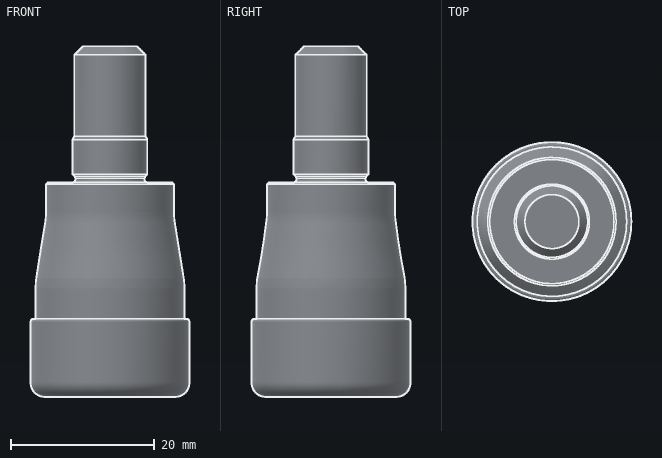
import cadquery as cq
import math

TOTAL_HEIGHT = 49.0

FOOT_RADIUS = 11.1
FOOT_HEIGHT = 10.95
FOOT_BOTTOM_FILLET = 2.0
FOOT_RIM_FILLET = 0.45

SHANK_RADIUS = 10.45
HEAD_RADIUS = 8.95
HEAD_TOP = 30.0
HEAD_EDGE_CHAMFER = 0.3
CONE_BOTTOM = 15.9
CONE_TOP = 25.05
CONE_BLEND_LENGTH = 0.75

NECK_RADIUS = 4.85
NECK_FILLET = 0.4
NECK_TOP = 30.55

COLLAR_RADIUS = 5.25
COLLAR_BOTTOM = 31.1
COLLAR_TOP = 36.4
COLLAR_BOTTOM_CHAMFER = 0.3
COLLAR_TOP_CHAMFER_HEIGHT = 0.45

STUD_RADIUS = 5.0
STUD_TIP_CHAMFER = 1.22


def make_foot():
    """Solid disc with a rounded bottom edge and a small round on its rim."""
    foot = cq.Workplane("XY").circle(FOOT_RADIUS).extrude(FOOT_HEIGHT)
    foot = foot.faces("<Z").edges().fillet(FOOT_BOTTOM_FILLET)
    return foot.faces(">Z").edges().fillet(FOOT_RIM_FILLET)


def make_stem():
    """Turned stem: shank, cone, head, neck, collar and stud, standing on the foot."""
    cone_angle = math.atan2(SHANK_RADIUS - HEAD_RADIUS, CONE_TOP - CONE_BOTTOM)
    blend_rise = CONE_BLEND_LENGTH * math.cos(cone_angle)
    blend_inset = CONE_BLEND_LENGTH * math.sin(cone_angle)
    stud_tip_radius = STUD_RADIUS - STUD_TIP_CHAMFER

    profile = (
        cq.Workplane("XZ")
        .moveTo(0, FOOT_HEIGHT)
        .lineTo(SHANK_RADIUS, FOOT_HEIGHT)
        .lineTo(SHANK_RADIUS, CONE_BOTTOM - CONE_BLEND_LENGTH)
        .tangentArcPoint((SHANK_RADIUS - blend_inset, CONE_BOTTOM + blend_rise), relative=False)
        .lineTo(HEAD_RADIUS + blend_inset, CONE_TOP - blend_rise)
        .tangentArcPoint((HEAD_RADIUS, CONE_TOP + CONE_BLEND_LENGTH), relative=False)
        .lineTo(HEAD_RADIUS, HEAD_TOP - HEAD_EDGE_CHAMFER)
        .lineTo(HEAD_RADIUS - HEAD_EDGE_CHAMFER, HEAD_TOP)
        .lineTo(NECK_RADIUS + NECK_FILLET, HEAD_TOP)
        .radiusArc((NECK_RADIUS, HEAD_TOP + NECK_FILLET), NECK_FILLET)
        .lineTo(NECK_RADIUS, NECK_TOP)
        .lineTo(COLLAR_RADIUS - COLLAR_BOTTOM_CHAMFER, COLLAR_BOTTOM - COLLAR_BOTTOM_CHAMFER)
        .lineTo(COLLAR_RADIUS, COLLAR_BOTTOM)
        .lineTo(COLLAR_RADIUS, COLLAR_TOP - COLLAR_TOP_CHAMFER_HEIGHT)
        .lineTo(STUD_RADIUS, COLLAR_TOP)
        .lineTo(STUD_RADIUS, TOTAL_HEIGHT - STUD_TIP_CHAMFER)
        .lineTo(stud_tip_radius, TOTAL_HEIGHT)
        .lineTo(0, TOTAL_HEIGHT)
        .close()
    )
    return profile.revolve(360, (0, 0, 0), (0, 1, 0))


foot = make_foot()
stem = make_stem()
result = cq.Compound.makeCompound([foot.val(), stem.val()])